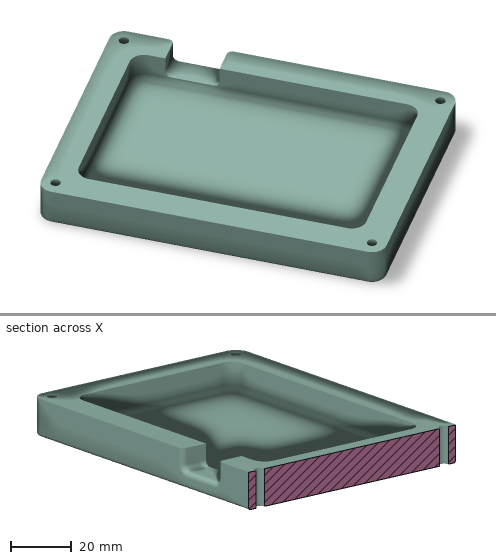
import cadquery as cq

LENGTH = 118.6
WIDTH = 87.6
HEIGHT = 13.0
CORNER_RADIUS = 5.0
BOTTOM_EDGE_RADIUS = 1.0

WALL = 10.0
FLOOR_THICKNESS = 3.1
POCKET_CORNER_RADIUS = CORNER_RADIUS
POCKET_FLOOR_RADIUS = 2.0

HOLE_DIAMETER = 3.4

NOTCH_WIDTH = 18.6
NOTCH_DEPTH = 7.6
NOTCH_CENTER_X = -29.3
NOTCH_FLOOR_RADIUS = 2.0
NOTCH_MOUTH_RADIUS = 1.8

SELECTION_MARGIN = 0.1

top_z = HEIGHT
back_y = WIDTH / 2


def make_body():
    """Rounded block standing on Z = 0 with softened bottom edges."""
    block = cq.Workplane("XY").box(LENGTH, WIDTH, HEIGHT, centered=(True, True, False))
    return block.edges("|Z").fillet(CORNER_RADIUS).faces("<Z").edges().fillet(BOTTOM_EDGE_RADIUS)


def make_pocket():
    """Volume of the open pocket, rounded where its walls meet its floor."""
    pocket = (
        cq.Workplane("XY", origin=(0, 0, FLOOR_THICKNESS))
        .rect(LENGTH - 2 * WALL, WIDTH - 2 * WALL)
        .extrude(top_z - FLOOR_THICKNESS)
    )
    return pocket.edges("|Z").fillet(POCKET_CORNER_RADIUS).faces("<Z").edges().fillet(POCKET_FLOOR_RADIUS)


def make_notch():
    """Volume of the U-shaped notch, from the outer face to the pocket wall."""
    notch = (
        cq.Workplane("XY", origin=(NOTCH_CENTER_X, back_y - WALL / 2, top_z - NOTCH_DEPTH))
        .rect(NOTCH_WIDTH, WALL)
        .extrude(NOTCH_DEPTH)
    )
    return notch.faces("<Z").edges("|Y").fillet(NOTCH_FLOOR_RADIUS)


def round_notch_mouth(tray):
    """Round the edges where the notch opens through the outer +Y face."""
    reach = NOTCH_WIDTH / 2 + SELECTION_MARGIN
    below_notch = top_z - NOTCH_DEPTH - SELECTION_MARGIN
    mouth_edges = cq.selectors.BoxSelector(
        (NOTCH_CENTER_X - reach, back_y - SELECTION_MARGIN, below_notch),
        (NOTCH_CENTER_X + reach, back_y + SELECTION_MARGIN, top_z - SELECTION_MARGIN),
    )
    return tray.edges(mouth_edges).fillet(NOTCH_MOUTH_RADIUS)


def make_holes():
    """Four through holes at the outer corner centers."""
    return (
        cq.Workplane("XY")
        .rect(LENGTH - 2 * CORNER_RADIUS, WIDTH - 2 * CORNER_RADIUS, forConstruction=True)
        .vertices()
        .circle(HOLE_DIAMETER / 2)
        .extrude(HEIGHT)
    )


tray = make_body().cut(make_pocket()).cut(make_notch())
result = round_notch_mouth(tray).cut(make_holes())